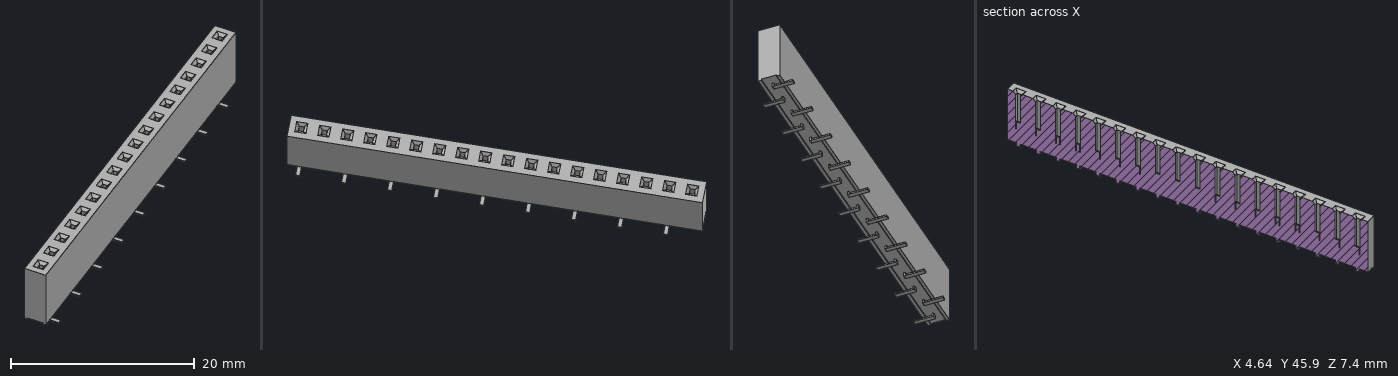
import cadquery as cq

pin_count = 18
pitch = 2.54
body_length = 45.92
body_width = 2.6
total_height = 7.4
lead_span = 4.64

lead_thickness = 0.2
lead_width = 0.5
foot_clearance = 0.1
blade_height = 1.0

channel_width = 1.8
channel_height = 0.15

socket_width = 0.56
funnel_width = 1.24
funnel_depth = (funnel_width - socket_width) / 2
socket_depth = 5.0

body_bottom = lead_thickness + foot_clearance
lead_top = total_height - socket_depth + blade_height
first_pin_y = pitch * (pin_count - 1) / 2
pin_positions = [first_pin_y - index * pitch for index in range(pin_count)]


def make_body():
    """Long housing with a channel running the full length of its underside."""
    housing = (
        cq.Workplane("XY")
        .workplane(offset=body_bottom)
        .rect(body_width, body_length)
        .extrude(total_height - body_bottom)
    )
    channel = (
        cq.Workplane("XY")
        .workplane(offset=body_bottom)
        .rect(channel_width, body_length)
        .extrude(channel_height)
    )
    return housing.cut(channel)


def make_sockets():
    """Square blind holes, each with a tapered lead-in at the top face."""
    centers = [(0, y) for y in pin_positions]
    bores = (
        cq.Workplane("XY")
        .workplane(offset=total_height)
        .pushPoints(centers)
        .rect(socket_width, socket_width)
        .extrude(-socket_depth)
    )
    funnel = (
        cq.Workplane("XY")
        .workplane(offset=total_height)
        .rect(funnel_width, funnel_width)
        .workplane(offset=-funnel_depth)
        .rect(socket_width, socket_width)
        .loft(ruled=True)
    )
    for x, y in centers:
        bores = bores.union(funnel.translate((x, y, 0)))
    return bores


def make_lead(y, side):
    """L-shaped strip: a stem rising into the socket and a foot running to one side."""
    stem_half = lead_thickness / 2
    foot_tip = lead_span / 2
    profile = [
        (-side * stem_half, 0),
        (side * foot_tip, 0),
        (side * foot_tip, lead_thickness),
        (side * stem_half, lead_thickness),
        (side * stem_half, lead_top),
        (-side * stem_half, lead_top),
    ]
    return (
        cq.Workplane("XZ", origin=(0, y, 0))
        .polyline(profile)
        .close()
        .extrude(lead_width / 2, both=True)
    )


result = make_body().cut(make_sockets())
for index, pin_y in enumerate(pin_positions):
    lead_side = -1 if index % 2 == 0 else 1
    result = result.union(make_lead(pin_y, lead_side))